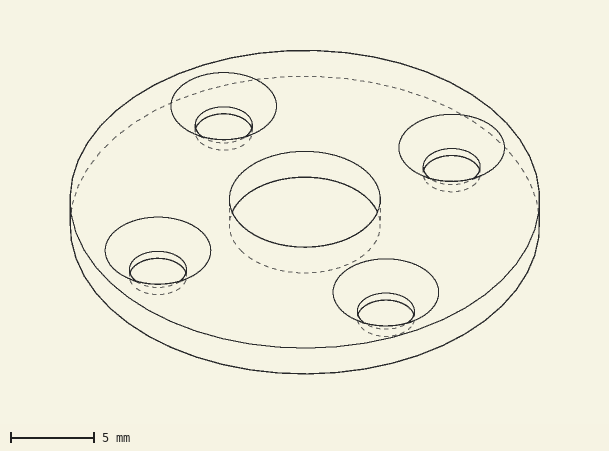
import cadquery as cq

disc_diameter = 28.0
disc_thickness = 2.0
bore_diameter = 9.0

screw_count = 4
screw_circle_radius = 10.0
screw_hole_diameter = 3.4
countersink_diameter = 6.3
countersink_angle = 90.0


def make_disc():
    """Plain disc with its bottom face on Z = 0 and a central through bore."""
    return (
        cq.Workplane("XY")
        .circle(disc_diameter / 2)
        .circle(bore_diameter / 2)
        .extrude(disc_thickness)
    )


def add_screw_holes(body):
    """Through holes evenly spaced on the screw circle, countersunk from the top."""
    return (
        body.faces(">Z")
        .workplane(origin=(0, 0, disc_thickness))
        .polarArray(screw_circle_radius, 0, 360, screw_count)
        .cskHole(screw_hole_diameter, countersink_diameter, countersink_angle)
    )


result = add_screw_holes(make_disc())